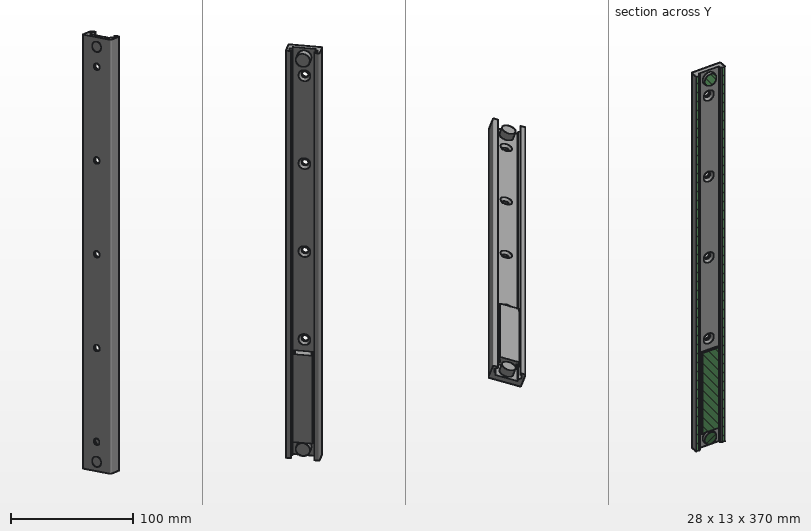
import cadquery as cq

rail_length = 370.0
rail_width = 28.0
rail_depth = 12.5
web_thickness = 4.5
wall_thickness = 4.5
corner_radius = 1.0

rail_track_radius = 2.2
slider_track_radius = 1.5
track_y = 9.0

mounting_hole_count = 5
mounting_hole_pitch = 80.0
mounting_hole_diameter = 5.5
countersink_diameter = 10.0

stop_shank_diameter = 9.0
stop_head_diameter = 12.0
stop_top_y = 11.0
stop_end_distance = 8.0

overall_depth = 13.0
slider_length = 80.0
slider_end_distance = 15.0
slider_width = 16.3
slider_web_gap = 1.0

cage_thickness = 0.7
cage_depth = 6.0
cage_rib_reach = 1.5
cage_rib_depth = 1.5

inner_half_width = rail_width / 2 - wall_thickness
slider_base_y = web_thickness + slider_web_gap
slider_depth = overall_depth - slider_base_y
cage_x = (inner_half_width + slider_width / 2) / 2
mounting_hole_end_distance = (rail_length - (mounting_hole_count - 1) * mounting_hole_pitch) / 2
sides = (-1, 1)


def block(width, depth, length, base_y, base_z):
    """A block centred on X, starting at base_y and base_z."""
    box = cq.Workplane("XY").box(width, depth, length, centered=(True, False, False))
    return box.translate((0, base_y, base_z))


def cylinder_along_y(diameter, start_y, end_y, z):
    """A round bar on the X centreline, running in +Y from start_y to end_y."""
    bar = cq.Workplane("XZ", origin=(0, start_y, z)).circle(diameter / 2)
    return bar.extrude(start_y - end_y)


def cut_ball_tracks(body, track_x, track_radius):
    """Cut a round ball track centred on each of the side faces at +/- track_x, over the whole length."""
    for side in sides:
        track = cq.Workplane("XY").center(side * track_x, track_y).circle(track_radius).extrude(rail_length)
        body = body.cut(track)
    return body


def mounting_hole(z):
    """A through hole with a 90 degree countersink that opens into the channel."""
    sink_depth = (countersink_diameter - mounting_hole_diameter) / 2
    countersink = cq.Solid.makeCone(
        countersink_diameter / 2,
        mounting_hole_diameter / 2,
        sink_depth,
        cq.Vector(0, web_thickness, z),
        cq.Vector(0, -1, 0),
    )
    return cylinder_along_y(mounting_hole_diameter, 0, web_thickness, z).union(countersink)


def make_rail():
    rail = block(rail_width, rail_depth, rail_length, 0, 0)
    rail = rail.edges("|Z").fillet(corner_radius)
    channel = block(2 * inner_half_width, rail_depth, rail_length, web_thickness, 0)
    rail = cut_ball_tracks(rail.cut(channel), inner_half_width, rail_track_radius)
    for index in range(mounting_hole_count):
        rail = rail.cut(mounting_hole(mounting_hole_end_distance + index * mounting_hole_pitch))
    for stop_z in stop_places:
        rail = rail.cut(cylinder_along_y(stop_shank_diameter, 0, web_thickness, stop_z))
    return rail


def make_end_stop(z):
    shank = cylinder_along_y(stop_shank_diameter, 0, web_thickness, z)
    head = cylinder_along_y(stop_head_diameter, web_thickness, stop_top_y, z)
    return shank.union(head)


def make_slider():
    slider = block(slider_width, slider_depth, slider_length, slider_base_y, slider_end_distance)
    return cut_ball_tracks(slider, slider_width / 2, slider_track_radius)


def make_ball_cage(side):
    strip_base_y = track_y - cage_depth / 2
    strip = block(cage_thickness, cage_depth, slider_length, strip_base_y, slider_end_distance)
    rib_base_y = track_y - cage_rib_depth / 2
    rib = block(cage_rib_reach, cage_rib_depth, slider_length, rib_base_y, slider_end_distance)
    rib_x = cage_x - (cage_thickness + cage_rib_reach) / 2
    return strip.translate((side * cage_x, 0, 0)).union(rib.translate((side * rib_x, 0, 0)))


stop_places = (stop_end_distance, rail_length - stop_end_distance)
rail = make_rail()
slider = make_slider()
end_stops = [make_end_stop(z) for z in stop_places]
ball_cages = [make_ball_cage(side) for side in sides]

bodies = [rail, slider, *end_stops, *ball_cages]
result = cq.Compound.makeCompound([body.val() for body in bodies])